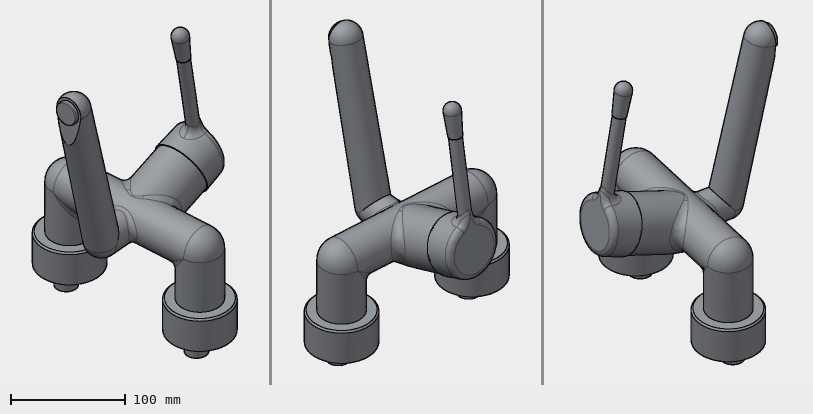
import cadquery as cq
import math

height = 283.5

leg_spacing = 150.0
tube_radius = 21.68
tube_axis_z = 108.8
elbow_inner_fillet = 7.7

flange_radius = 32.5
flange_bottom_z = 21.0
flange_top_z = 55.3
flange_chamfer = 1.7
stub_radius = 10.8
stub_y = -4.5

body_tilt = 20
body_radius = 27.8
body_top_recess = 0.5
body_length = 63.8
body_fillet = 8.5

cap_radius = 29.0
cap_taper = 1.8
cap_untrimmed_length = 56.7
cap_face_tilt = 8.5
cap_face_y = 89.8
cap_face_z = 133.5
cap_edge_fillet = 5.7

lever_tilt = 9.2
lever_radius = 6.2
lever_length = 136.0
lever_fillet = 9.0
grip_length = 25.5
grip_step = 0.43
ball_radius = 8.2
ball_y = 60.7
ball_z = 267.5

neck_radius = 16.5
neck_axis_z = 106.8
neck_fillet = 5.0
elbow_y = -44.2
arm_tip_radius = 15.3
arm_tip_y = -81.3

outlet_tilt = 2.5
outlet_y = -88.0
outlet_z = 268.0
aerator_radius = 11.3
aerator_height = 4.0
aerator_fillet = 0.9


def lean_forward(angle):
    """Unit vector in the YZ plane, leaning from +Z towards -Y by the angle in degrees."""
    return cq.Vector(0, -math.sin(math.radians(angle)), math.cos(math.radians(angle)))


def rise_back(angle):
    """Unit vector in the YZ plane, rising from +Y towards +Z by the angle in degrees."""
    return cq.Vector(0, math.cos(math.radians(angle)), math.sin(math.radians(angle)))


def cone(start, direction, start_radius, end_radius, length):
    return cq.Workplane(obj=cq.Solid.makeCone(start_radius, end_radius, length, start, direction))


def cylinder(start, direction, radius, length):
    return cq.Workplane(obj=cq.Solid.makeCylinder(radius, length, start, direction))


def ball(center, radius):
    return cq.Workplane("XY").sphere(radius).translate(center)


def half_space(origin, outward):
    """Large block on the outward side of a plane, used for trimming."""
    plane = cq.Plane(origin=origin, xDir=cq.Vector(1, 0, 0), normal=outward)
    return cq.Workplane(plane).rect(2 * height, 2 * height).extrude(height)


up = cq.Vector(0, 0, 1)
right = cq.Vector(1, 0, 0)
front = cq.Vector(0, -1, 0)
tube_center = cq.Vector(0, 0, tube_axis_z)
leg_positions = (-leg_spacing / 2, leg_spacing / 2)
body_axis = rise_back(body_tilt)


def make_crossbar_with_body(body_start):
    bar = cylinder(cq.Vector(leg_positions[0], 0, tube_axis_z), right, tube_radius, leg_spacing)
    body = cylinder(body_start, body_axis, body_radius, body_length)
    joined = bar.union(body).edges("%BSPLINE").fillet(body_fillet)
    below = cq.Workplane("XY").box(height, height, height, centered=(True, False, False))
    return joined.cut(below.translate((0, 0, tube_axis_z - tube_radius - height)))


def add_neck(crossbar):
    neck_start = cq.Vector(0, 0, neck_axis_z)
    joined = crossbar.union(cylinder(neck_start, front, neck_radius, -elbow_y))
    in_front_of_bar = cq.selectors.BoxSelector(
        (-tube_radius, -tube_radius, tube_axis_z - tube_radius),
        (tube_radius, -tube_radius / 2, tube_axis_z + tube_radius),
    )
    return joined.edges(in_front_of_bar).edges("%BSPLINE").fillet(neck_fillet)


def add_leg(crossbar, x):
    corner = cq.Vector(x, 0, tube_axis_z)
    joined = crossbar.union(cylinder(corner, up * -1, tube_radius, tube_axis_z - flange_top_z))
    joined = joined.union(ball(corner, tube_radius))
    below_corner = cq.selectors.BoxSelector(
        (x - tube_radius, -tube_radius, tube_axis_z - tube_radius),
        (x + tube_radius, tube_radius, tube_axis_z),
    )
    return joined.edges(below_corner).edges("%ELLIPSE").fillet(elbow_inner_fillet)


def make_inlet(x):
    flange_height = flange_top_z - flange_bottom_z
    flange = cylinder(cq.Vector(x, 0, flange_bottom_z), up, flange_radius, flange_height)
    flange = flange.faces(">Z").chamfer(flange_chamfer)
    return flange.union(cylinder(cq.Vector(x, stub_y, 0), up, stub_radius, flange_top_z))


def make_lever_cap(cap_start):
    cap_end_radius = cap_radius - cap_untrimmed_length * math.tan(math.radians(cap_taper))
    cap = cone(cap_start, body_axis, cap_radius, cap_end_radius, cap_untrimmed_length)

    lever_axis = lean_forward(lever_tilt)
    ball_center = cq.Vector(0, ball_y, ball_z)
    lever = cylinder(ball_center - lever_axis * lever_length, lever_axis, lever_radius, lever_length)
    cap = cap.union(lever).edges("%BSPLINE").fillet(lever_fillet)

    face_normal = rise_back(cap_face_tilt)
    cap = cap.cut(half_space(cq.Vector(0, cap_face_y, cap_face_z), face_normal))
    cap_face = cq.selectors.DirectionMinMaxSelector(face_normal, True)
    cap = cap.faces(cap_face).edges().fillet(cap_edge_fillet)

    grip_start = ball_center - lever_axis * grip_length
    grip = cone(grip_start, lever_axis, lever_radius + grip_step, ball_radius, grip_length)
    return cap.union(grip).union(ball(ball_center, ball_radius))


def make_spout_arm():
    elbow_center = cq.Vector(0, elbow_y, neck_axis_z)
    tip_center = cq.Vector(0, arm_tip_y, height - arm_tip_radius)
    arm_vector = tip_center - elbow_center
    arm = cone(elbow_center, arm_vector, neck_radius, arm_tip_radius, arm_vector.Length)
    arm = arm.union(ball(elbow_center, neck_radius)).union(ball(tip_center, arm_tip_radius))

    outlet_center = cq.Vector(0, outlet_y, outlet_z)
    outlet_normal = rise_back(-outlet_tilt) * -1
    arm = arm.cut(half_space(outlet_center, outlet_normal))
    aerator_start = outlet_center - outlet_normal * aerator_height
    aerator = cylinder(aerator_start, outlet_normal, aerator_radius, 2 * aerator_height)
    outer_face = cq.selectors.DirectionMinMaxSelector(outlet_normal, True)
    return arm.union(aerator.faces(outer_face).edges().fillet(aerator_fillet))


body_drop = body_radius - tube_radius + body_top_recess
body_base = tube_center - lean_forward(body_tilt) * body_drop
body_end = body_base + body_axis * body_length

result = add_neck(make_crossbar_with_body(body_base))
for leg_x in leg_positions:
    result = add_leg(result, leg_x)
    result = result.union(make_inlet(leg_x))
result = result.union(make_lever_cap(body_end))
result = result.union(make_spout_arm())